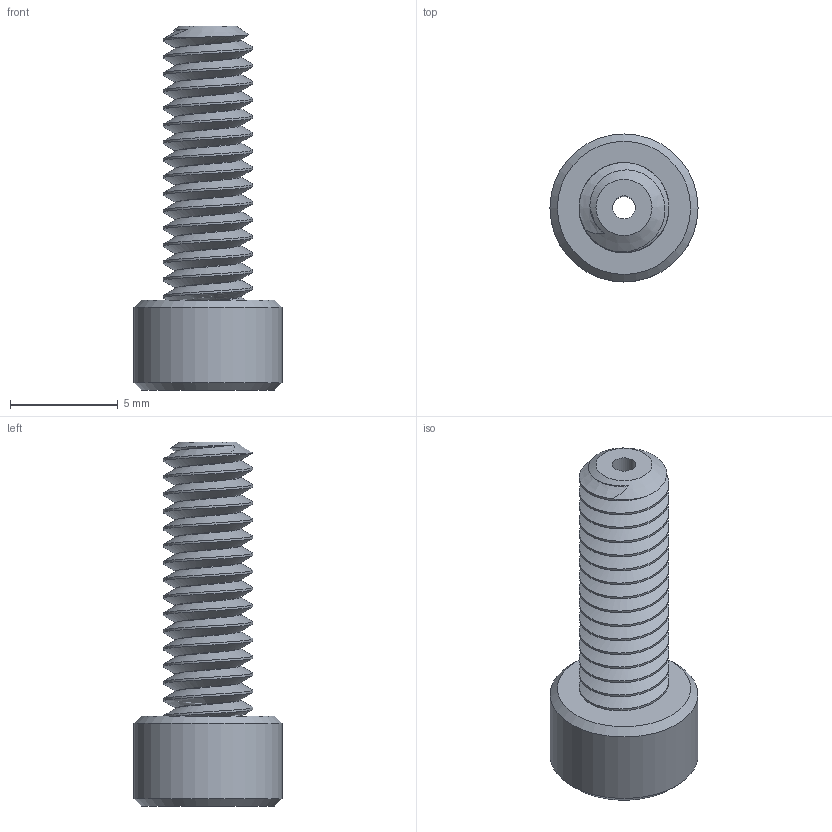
import cadquery as cq
import math

head_diameter = 6.858
head_height = 4.166
head_chamfer = 0.343

inch = 25.4
threads_per_inch = 32
shank_length = 12.7
major_diameter = 4.166
pitch = inch / threads_per_inch
crest_flat = pitch / 8
root_flat = 0.035
flank_half_angle = math.radians(30)
thread_phase = 0.155

tip_diameter = 2.6
tip_slope = math.radians(33.7)

bore_diameter = 1.07

total_height = head_height + shank_length
major_radius = major_diameter / 2
tip_radius = tip_diameter / 2
tip_height = (major_radius - tip_radius) * math.tan(tip_slope)
groove_depth = (pitch - crest_flat - root_flat) / 2 / math.tan(flank_half_angle)
root_radius = major_radius - groove_depth
run_out_turns = 2
cutter_overlap = 0.04


def make_head():
    """Bevelled cylindrical head."""
    cylinder = cq.Workplane("XY").circle(head_diameter / 2).extrude(head_height)
    return cylinder.faces("<Z or >Z").edges().chamfer(head_chamfer)


def make_shank_blank():
    """Shank standing on the head, with its conical tip, before threading."""
    return (
        cq.Workplane("XZ")
        .moveTo(0, head_height)
        .lineTo(major_radius, head_height)
        .lineTo(major_radius, total_height - tip_height)
        .lineTo(tip_radius, total_height)
        .lineTo(0, total_height)
        .close()
        .revolve(360, (0, 0, 0), (0, 1, 0))
    )


def make_helix(radius, start_z, height):
    """Right-handed helix around Z, starting on the +X side."""
    return cq.Wire.makeHelix(pitch, height, radius).translate(cq.Vector(0, 0, start_z))


def make_groove_cutter():
    """Helical trapezoid-section solid, bounded by ruled faces, that runs past both ends of the shank."""
    start_z = head_height + thread_phase - run_out_turns * pitch
    height = total_height + run_out_turns * pitch - start_z
    outer_radius = major_radius + cutter_overlap
    root_half = root_flat / 2
    outer_half = root_half + (outer_radius - root_radius) * math.tan(flank_half_angle)

    section = (
        (root_radius, -root_half),
        (root_radius, root_half),
        (outer_radius, outer_half),
        (outer_radius, -outer_half),
    )
    helices = [make_helix(radius, start_z + offset, height) for radius, offset in section]

    faces = []
    for index, helix in enumerate(helices):
        faces += cq.Face.makeRuledSurface(helices[index - 1], helix).Faces()
    start_corners = [helix.startPoint() for helix in helices]
    end_corners = [helix.endPoint() for helix in helices]
    for corners in (start_corners, end_corners):
        faces.append(cq.Face.makeFromWires(cq.Wire.makePolygon(corners, close=True)))
    return cq.Workplane(cq.Solid.makeSolid(cq.Shell.makeShell(faces)))


shank = make_shank_blank().cut(make_groove_cutter())
bore = cq.Workplane("XY").circle(bore_diameter / 2).extrude(total_height)
result = shank.union(make_head()).cut(bore)